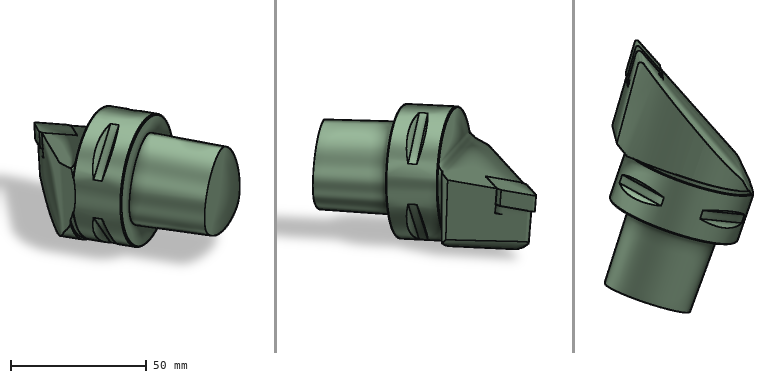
import cadquery as cq
import math

overall_length = 90.0

flange_dia = 50.0
flange_radius = flange_dia / 2
flange_length = 20.0
flange_chamfer = 0.45
shank_length = 30.0
shank_root_radius = 17.4
shank_end_radius = 16.7
lobe_height = 1.3
shank_curve_points = 48

slot_count = 4
slot_center_x = -flange_length / 2
slot_floor_width = 3.3
slot_floor_radius = 22.2
slot_flank_angle = 31.0

nose_end_x = -21.6
nose_radius = 25.5
neck_radius = 24.7
belly_start_y = 4.5
belly_radius = 54.9
nose_limit = 37.8
nose_blank_top = 18.0
nose_blank_start = -67.5
face_fillet = 3.0
nose_bend_x = 32.6
nose_bend_radius = 10.0
side_relief_angle = 42.3
relief_start = (-25.65, 32.4)
back_relief_angle = 60.0
tip_round = 1.2
trim_reach = 108.0

sharp_tip_y = 35.1
rake_slope_x = 0.105
rake_slope_y = -0.1
insert_angle = 55.0
edge_lead_angle = 3.0
insert_circle = 12.7
insert_thickness = 6.3
insert_nose_radius = 0.8
insert_corner_chamfer = 1.35
overhang = 0.7
seat_thickness = 3.3
seat_corner_radius = 10.0 / 2

back_angle = math.radians(edge_lead_angle)
side_angle = math.radians(edge_lead_angle + insert_angle)
half_angle = math.radians(insert_angle / 2)
bisector = (back_angle + side_angle) / 2
nose_setback = insert_nose_radius * (math.cos(bisector) / math.sin(half_angle) - 1)
sharp_tip = (shank_length - overall_length - nose_setback, sharp_tip_y, 0)

rake_plane = cq.Plane(
    origin=sharp_tip,
    xDir=(1, 0, rake_slope_x),
    normal=(-rake_slope_x, -rake_slope_y, 1),
)
edge_length = insert_circle / math.sin(math.radians(insert_angle))
corner_shift = overhang / math.sin(half_angle)
holder_tip = (corner_shift * math.cos(bisector), -corner_shift * math.sin(bisector))


def step(point, length, angle_below_x):
    """Point reached from `point` along a direction turned clockwise from local x."""
    return (
        point[0] + length * math.cos(angle_below_x),
        point[1] - length * math.sin(angle_below_x),
    )


def rhombus(first_corner, side, height, bottom):
    """Rhombic prism in the rake plane, its bottom face at local z = `bottom`."""
    back_corner = step(first_corner, side, back_angle)
    far_corner = step(back_corner, side, side_angle)
    side_corner = step(first_corner, side, side_angle)
    return (
        cq.Workplane(rake_plane)
        .workplane(offset=bottom)
        .polyline([first_corner, back_corner, far_corner, side_corner])
        .close()
        .extrude(height)
    )


def upright_edges(prism, corners):
    """Edges of `prism` along the rake normal that pass nearest to the given corners."""
    edges = prism.edges(cq.selectors.ParallelDirSelector(rake_plane.zDir)).vals()

    def distance(edge, corner):
        local = rake_plane.toLocalCoords(edge.Center())
        return math.hypot(local.x - corner[0], local.y - corner[1])

    nearest = [min(edges, key=lambda edge: distance(edge, corner)) for corner in corners]
    return prism.newObject(nearest)


def make_insert():
    back_corner = step((0, 0), edge_length, back_angle)
    far_corner = step(back_corner, edge_length, side_angle)
    side_corner = step((0, 0), edge_length, side_angle)
    plate = rhombus((0, 0), edge_length, insert_thickness, -insert_thickness)
    plate = upright_edges(plate, [(0, 0), far_corner]).fillet(insert_nose_radius)
    return upright_edges(plate, [back_corner, side_corner]).chamfer(insert_corner_chamfer)


def make_pocket():
    depth = insert_thickness + seat_thickness
    return rhombus((0, 0), edge_length, depth, -depth)


def make_seat():
    """Support under the insert, flush with the holder's side and back faces."""
    side = edge_length - overhang / math.sin(math.radians(insert_angle))
    back_corner = step(holder_tip, side, back_angle)
    side_corner = step(holder_tip, side, side_angle)
    far_corner = step(back_corner, side, side_angle)
    bottom = -insert_thickness - seat_thickness
    seat = rhombus(holder_tip, side, seat_thickness, bottom)
    seat = upright_edges(seat, [holder_tip, far_corner]).fillet(tip_round)
    return upright_edges(seat, [back_corner, side_corner]).fillet(seat_corner_radius)


def shank_section(x, mean_radius):
    """Closed three-lobed wire with support height mean + lobe * cos(3a), a lobe toward +Z."""
    points = []
    for index in range(shank_curve_points):
        angle = 2 * math.pi * index / shank_curve_points
        height = mean_radius + lobe_height * math.cos(3 * angle)
        slope = -3 * lobe_height * math.sin(3 * angle)
        y = height * math.sin(angle) + slope * math.cos(angle)
        z = height * math.cos(angle) - slope * math.sin(angle)
        points.append(cq.Vector(x, y, z))
    return cq.Wire.assembleEdges([cq.Edge.makeSpline(points, periodic=True)])


def make_shank():
    root = shank_section(0, shank_root_radius)
    end = shank_section(shank_length, shank_end_radius)
    return cq.Workplane(cq.Solid.makeLoft([root, end], True))


def make_flange():
    return (
        cq.Workplane("YZ")
        .circle(flange_radius)
        .extrude(-flange_length)
        .edges()
        .chamfer(flange_chamfer)
    )


def make_slot(angle):
    """Trapezoidal cutter tangent to the rim, turned about X."""
    depth = 2 * (flange_radius - slot_floor_radius)
    half_floor = slot_floor_width / 2
    half_mouth = half_floor + depth * math.tan(math.radians(slot_flank_angle))
    return (
        cq.Workplane("XZ")
        .polyline([
            (slot_center_x - half_floor, slot_floor_radius),
            (slot_center_x + half_floor, slot_floor_radius),
            (slot_center_x + half_mouth, slot_floor_radius + depth),
            (slot_center_x - half_mouth, slot_floor_radius + depth),
        ])
        .close()
        .extrude(flange_radius, both=True)
        .rotate((0, 0, 0), (1, 0, 0), angle)
    )


def make_nose_blank():
    """Belly profile swept along X, and the narrower neck that joins it to the flange."""
    def belly_z(y):
        rise = belly_radius - math.sqrt(belly_radius**2 - (y - belly_start_y)**2)
        return rise - nose_radius

    arc_middle_y = (belly_start_y + nose_limit) / 2
    arc_end = (nose_limit, belly_z(nose_limit))
    diagonal = nose_radius / math.sqrt(2)
    nose = (
        cq.Workplane("YZ", origin=(nose_blank_start, 0, 0))
        .moveTo(-nose_radius, 0)
        .threePointArc((-diagonal, -diagonal), (0, -nose_radius))
        .lineTo(belly_start_y, -nose_radius)
        .threePointArc((arc_middle_y, belly_z(arc_middle_y)), arc_end)
        .lineTo(nose_limit, nose_blank_top)
        .lineTo(-nose_radius, nose_blank_top)
        .close()
        .extrude(nose_end_x - nose_blank_start)
    )
    neck = (
        cq.Workplane("YZ", origin=(nose_end_x, 0, 0))
        .circle(neck_radius)
        .extrude(-flange_length / 2 - nose_end_x)
    )
    return nose.union(neck)


def make_trim():
    """Prism normal to the rake plane that keeps the nose outline and the flange."""
    back_end = step(holder_tip, trim_reach, back_angle)
    bend_length = (nose_bend_x - holder_tip[0]) / math.cos(side_angle)
    bend = step(holder_tip, bend_length, side_angle)
    relief_end = step(bend, trim_reach / 2, math.radians(side_relief_angle))
    prism = (
        cq.Workplane(rake_plane)
        .polyline([
            holder_tip,
            back_end,
            (back_end[0], relief_end[1]),
            relief_end,
            bend,
        ])
        .close()
        .extrude(trim_reach / 2, both=True)
    )
    prism = upright_edges(prism, [holder_tip]).fillet(tip_round)
    return upright_edges(prism, [bend]).fillet(nose_bend_radius)


def make_back_relief():
    """Vertical cut that slopes from the back edge of the nose to the neck."""
    start_x, start_y = relief_start
    slope = math.tan(math.radians(back_relief_angle))
    outer_x = start_x - (nose_limit - start_y) / slope
    neck_y = start_y - (nose_end_x - start_x) * slope
    return (
        cq.Workplane("XY")
        .polyline([(outer_x, nose_limit), (nose_end_x, neck_y), (nose_end_x, nose_limit)])
        .close()
        .extrude(trim_reach, both=True)
    )


def make_top_cut():
    """Space above the rake plane and ahead of the flange, with a filleted inner corner."""
    above = (
        cq.Workplane(rake_plane)
        .rect(2 * trim_reach, 2 * trim_reach)
        .extrude(trim_reach / 2)
    )
    ahead = cq.Workplane("XY").box(
        trim_reach, 2 * trim_reach, 2 * trim_reach, centered=(False, True, True)
    ).translate((-flange_length - trim_reach, 0, 0))
    cut = above.intersect(ahead)
    return cut.faces(">X").edges("<Z").fillet(face_fillet)


def make_holder():
    body = make_flange().union(make_nose_blank())
    body = body.intersect(make_trim()).cut(make_back_relief())
    body = body.cut(make_top_cut()).cut(make_pocket())
    for index in range(slot_count):
        body = body.cut(make_slot((index + 0.5) * 360 / slot_count))
    body = body.union(make_shank())
    return body.union(make_seat(), clean=False)


insert = make_insert()
holder = make_holder()

result = cq.Compound.makeCompound([*holder.vals(), *insert.vals()])